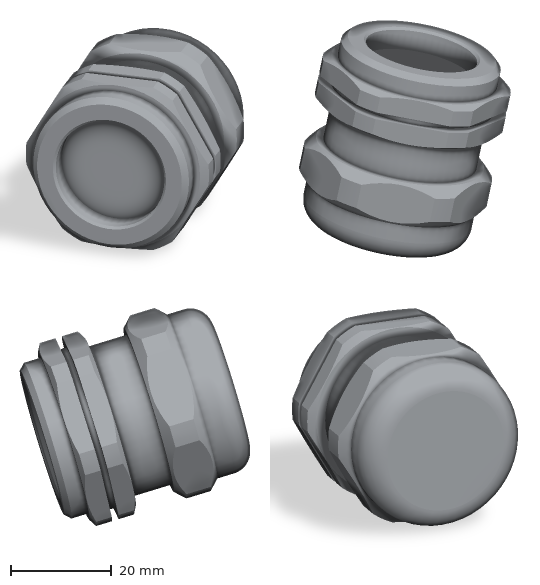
import cadquery as cq
import math


lock_nut_start = 4.5
seal_start = 8.6
body_hex_start = 10.0
neck_start = 14.07
cap_hex_start = 22.12
dome_start = 31.1
total_length = 39.1

thread_diameter = 32.3
thread_end_diameter = 30.0
thread_chamfer = (thread_diameter - thread_end_diameter) / 2
seal_diameter = 33.3
seal_bulge_radius = 1.0
seal_crest_offset = 0.85
seal_crest = seal_start + seal_crest_offset
neck_diameter = 31.0
dome_diameter = 34.0
dome_rounding = 4.5

across_flats = 35.0
corner_diameter = 38.0
nut_chamfer_length = 0.85
nut_chamfer_depth = 1.6
cap_chamfer = (corner_diameter - dome_diameter) / 2

bore_diameter = 22.5
bore_chamfer = 0.45
bore_depth = 4.57


def axial_plane(station):
    """Plane across the axis at a station, with its normal along +Y."""
    return cq.Plane(origin=(0, station, 0), xDir=(1, 0, 0), normal=(0, 1, 0))


def round_section(diameter, start, end):
    return cq.Workplane(axial_plane(start)).circle(diameter / 2).extrude(end - start)


def hex_section(start, end, front_chamfer=None, back_chamfer=None):
    """Hexagon with flats facing +Z and -Z, its corners turned to a cylinder.

    Each chamfer is an (axial length, radial depth) pair cutting a cone at that end.
    """
    turned = round_section(corner_diameter, start, end)
    if front_chamfer:
        turned = turned.intersect(end_cone(start, end - start, *front_chamfer))
    if back_chamfer:
        turned = turned.intersect(end_cone(end, start - end, *back_chamfer))
    hexagon = (
        cq.Workplane(axial_plane(start))
        .polygon(6, across_flats / math.cos(math.radians(30)))
        .extrude(end - start)
    )
    return hexagon.intersect(turned)


def end_cone(face, span, length, depth):
    """Turned envelope running from a chamfered face over a signed axial span."""
    outer_radius = corner_diameter / 2
    cone_end = face + (length if span > 0 else -length)
    profile = [
        (0, face),
        (outer_radius - depth, face),
        (outer_radius, cone_end),
        (outer_radius, face + span),
        (0, face + span),
    ]
    return cq.Workplane("XY").polyline(profile).close().revolve(360, (0, 0), (0, 1))


def bulged_seal():
    """Sealing ring with a circular bulge, closed by the hexagons on both sides."""
    crest_radius = seal_diameter / 2

    def radius_at(station):
        offset = station - seal_crest
        return crest_radius - seal_bulge_radius + math.sqrt(seal_bulge_radius**2 - offset**2)

    profile = (
        cq.Workplane("XY")
        .moveTo(0, seal_start)
        .lineTo(radius_at(seal_start), seal_start)
        .threePointArc((crest_radius, seal_crest), (radius_at(body_hex_start), body_hex_start))
        .lineTo(0, body_hex_start)
        .close()
    )
    return profile.revolve(360, (0, 0), (0, 1))


thread = round_section(thread_diameter, 0, lock_nut_start).faces("<Y").chamfer(thread_chamfer)
seal = bulged_seal()
neck = round_section(neck_diameter, neck_start, cap_hex_start)
dome = round_section(dome_diameter, dome_start, total_length).faces(">Y").edges().fillet(dome_rounding)

nut_chamfer = (nut_chamfer_length, nut_chamfer_depth)
lock_nut = hex_section(lock_nut_start, seal_start, front_chamfer=nut_chamfer)
body_hex = hex_section(body_hex_start, neck_start, back_chamfer=nut_chamfer)
cap_hex = hex_section(
    cap_hex_start,
    dome_start,
    front_chamfer=(cap_chamfer, cap_chamfer),
    back_chamfer=(cap_chamfer, cap_chamfer),
)

result = thread
for section in (lock_nut, seal, body_hex, neck, cap_hex, dome):
    result = result.union(section)

bore = round_section(bore_diameter, 0, bore_depth)
bore_mouth = (
    cq.Workplane(axial_plane(0))
    .circle(bore_diameter / 2 + bore_chamfer)
    .workplane(offset=bore_chamfer)
    .circle(bore_diameter / 2)
    .loft(ruled=True)
)
result = result.cut(bore).cut(bore_mouth)